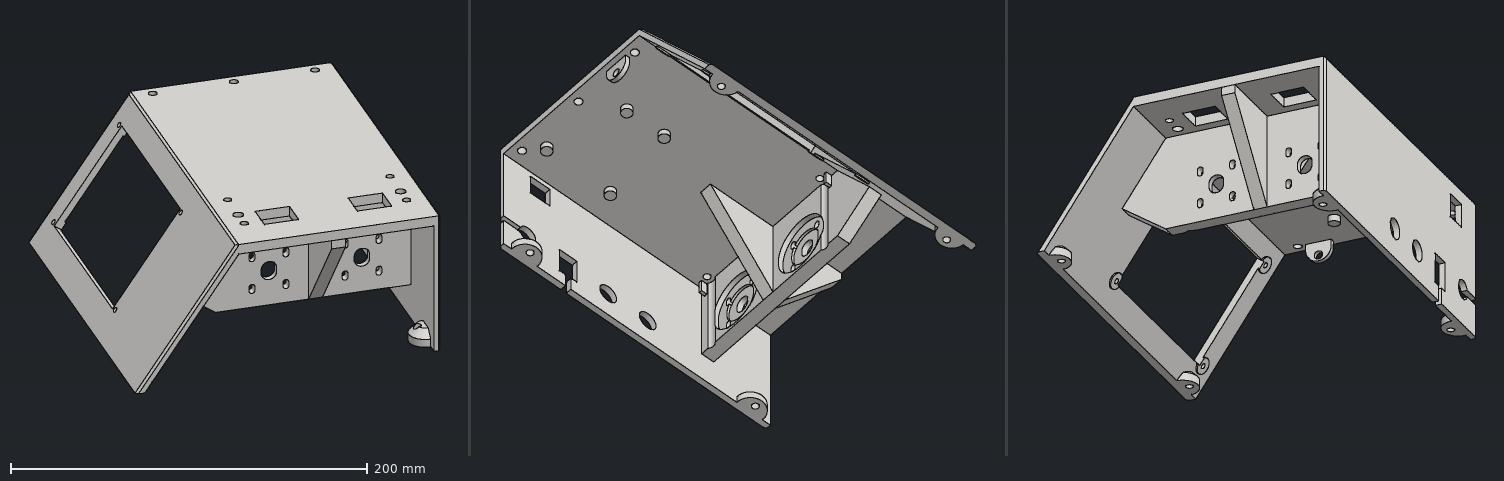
import cadquery as cq
import math

width = 200.0
depth = 179.5
height = 85.0
panel_angle = 55.0
back_thickness = 4.0
top_thickness = 6.0
panel_thickness = 4.5
ridge_chamfer = 1.0
side_bevel_width = 1.5
side_bevel_depth = 1.2

slope = math.radians(panel_angle)
ridge_y = height / math.tan(slope)
panel_length = height / math.sin(slope)
panel_foot_y = panel_thickness / math.sin(slope)
ceiling_z = height - top_thickness
back_inner_y = depth - back_thickness

window_x = 15.5
window_width = 107.8
window_low = 18.5
window_height = 69.5
display_hole_diameter = 3.0
display_boss_diameter = 10.0
display_boss_height = 1.0
display_hole_side_gap = 3.2
display_hole_inset = 1.0

bracket_y = 119.5
hole_row_offset = 47.8
side_hole_x = 6.5
side_hole_diameter = 5.0
bracket_hole_x = 145.0
bracket_hole_diameter = 4.5
large_hole_x = 164.5
large_hole_diameter = 6.0
outer_hole_x = 175.8
outer_hole_diameter = 4.5
opening_x = 172.0
opening_width = 17.0
opening_depth = 20.2
motor_offset = 27.5

board_boss_diameter = 7.0
board_boss_height = 4.0
board_bosses = [(14.8, 155.8), (63.0, 156.5), (30.0, 105.2), (58.0, 105.2)]

lug_x = 3.5
lug_thickness = 3.0
lug_y = 84.5
lug_radius = 8.0
lug_centre_z = 75.0
lug_hole_z = 70.8
lug_hole_diameter = 5.0

tab_offset = 52.8
tab_width = 2.0
tab_length = 4.0
tab_height = 9.0

usb_x = 27.5
usb_size = 14.5
usb_low = 60.8
slot_width = 4.0
keyhole_x = 18.2
keyhole_z = 22.5
keyhole_diameter = 11.5
socket_x = 48.5
socket_width = 13.0
socket_low = 10.0
socket_high = 28.2
jack_xs = [78.5, 108.0]
jack_z = 18.5
jack_diameter = 12.5

foot_diameter = 19.2
foot_height = 9.8
foot_cone = 4.8
foot_side_inset = 15.5
foot_end_inset = 4.5
foot_hole_diameter = 4.5
foot_hole_shift = 4.5
front_foot_hole_depth = 6.0

plate_x = 148.5
plate_thickness = 9.0
plate_low = 21.5
plate_tip_y = 33.5
plate_corner_y = 60.5
groove_diameter = 9.2
rib_width = 8.2
rib_reach = 46.8
motor_z = 43.2
slot_travel = 2.2
motor_recess_diameter = 37.2
motor_recess_depth = 3.5
hub_recess_diameter = 22.5
hub_recess_depth = 1.5
shaft_diameter = 9.0
motor_screw_diameter = 3.5
motor_screw_offset = 10.0


def block(x0, x1, y0, y1, z0, z1):
    return cq.Workplane("XY").box(x1 - x0, y1 - y0, z1 - z0, centered=False).translate((x0, y0, z0))


def rod(x, y, z0, z1, diameter):
    return cq.Workplane("XY", origin=(x, y, z0)).circle(diameter / 2).extrude(z1 - z0)


def side_profile(points, x0, x1):
    """Prism along X from a closed outline of (y, z) points."""
    return cq.Workplane("YZ", origin=(x0, 0, 0)).polyline(points).close().extrude(x1 - x0)


def panel_plane():
    """Plane on the outer panel face: origin at its lower left corner, local y up the slope."""
    normal = (0, -math.sin(slope), math.cos(slope))
    return cq.Plane(origin=(0, 0, 0), xDir=(1, 0, 0), normal=normal)


def inner_panel_y(z):
    return panel_foot_y + z / math.tan(slope)


def outer_outline():
    return [(0, 0), (depth, 0), (depth, height), (ridge_y, height)]


def make_shell():
    """Back wall, top plate and sloping panel, open at both sides and below."""
    shell = side_profile(outer_outline(), 0, width)
    ridge = cq.selectors.NearestToPointSelector((width / 2, ridge_y, height))
    back_edge = cq.selectors.NearestToPointSelector((width / 2, depth, height))
    shell = shell.edges(ridge).chamfer(ridge_chamfer).edges(back_edge).chamfer(ridge_chamfer)
    inside = [
        (panel_foot_y, 0),
        (back_inner_y, 0),
        (back_inner_y, ceiling_z),
        (inner_panel_y(ceiling_z), ceiling_z),
    ]
    return shell.cut(side_profile(inside, 0, width))


def bevel_wedge(origin, normal, x, inward, length):
    """Triangular prism that runs along `normal` and takes off one outer side edge at x."""
    section = cq.Plane(origin=origin, xDir=(1, 0, 0), normal=normal)
    corners = [(x, 0), (x + inward * side_bevel_width, 0), (x, side_bevel_depth)]
    return cq.Workplane(section).polyline(corners).close().extrude(length)


def bevel_side_edges(shell):
    up_the_slope = (0, math.cos(slope), math.sin(slope))
    for x, inward in ((0, 1), (width, -1)):
        shell = shell.cut(bevel_wedge((0, 0, 0), up_the_slope, x, inward, panel_length))
        shell = shell.cut(bevel_wedge((0, depth, height), (0, 0, -1), x, inward, height))
    return shell


def display_hole_points():
    xs = (window_x - display_hole_side_gap, window_x + window_width + display_hole_side_gap)
    ys = (window_low + display_hole_inset, window_low + window_height - display_hole_inset)
    return [(x, y) for x in xs for y in ys]


def add_display_opening(shell):
    through = panel_thickness + display_boss_height
    points = display_hole_points()
    face = cq.Workplane(panel_plane())
    bosses = face.workplane(offset=-through).pushPoints(points).circle(display_boss_diameter / 2)
    shell = shell.union(bosses.extrude(through - panel_thickness / 2))
    window_centre = (window_x + window_width / 2, window_low + window_height / 2)
    window = face.center(*window_centre).rect(window_width, window_height).extrude(-2 * through)
    holes = cq.Workplane(panel_plane()).pushPoints(points).circle(display_hole_diameter / 2).extrude(-through)
    return shell.cut(window).cut(holes)


def make_foot(x, y):
    """Upright cylinder with a wide conical top."""
    foot = rod(x, y, 0, foot_height, foot_diameter)
    return foot.faces(">Z").chamfer(foot_cone)


def add_feet(shell):
    """A foot at each corner, kept inside the shell outline, with a screw hole set towards the middle."""
    envelope = side_profile(outer_outline(), 0, width)
    for x in (foot_side_inset, width - foot_side_inset):
        for y, inward, hole_depth in (
            (foot_end_inset, 1, front_foot_hole_depth),
            (depth - foot_end_inset, -1, foot_height),
        ):
            shell = shell.union(make_foot(x, y).intersect(envelope))
            shell = shell.cut(rod(x, y + inward * foot_hole_shift, 0, hole_depth, foot_hole_diameter))
    return shell


def cut_top_plate(shell):
    rows = (bracket_y - hole_row_offset, bracket_y + hole_row_offset)
    holes = [(side_hole_x, bracket_y, side_hole_diameter)]
    for y in rows:
        holes.append((side_hole_x, y, side_hole_diameter))
        holes.append((bracket_hole_x, y, bracket_hole_diameter))
        holes.append((large_hole_x, y, large_hole_diameter))
        holes.append((outer_hole_x, y, outer_hole_diameter))
    for x, y, diameter in holes:
        shell = shell.cut(rod(x, y, ceiling_z, height, diameter))
    for y in (bracket_y - motor_offset, bracket_y + motor_offset):
        opening = cq.Workplane("XY", origin=(opening_x, y, ceiling_z)).rect(opening_width, opening_depth)
        shell = shell.cut(opening.extrude(top_thickness))
    return shell


def add_board_bosses(shell):
    for x, y in board_bosses:
        shell = shell.union(rod(x, y, ceiling_z - board_boss_height, ceiling_z, board_boss_diameter))
    return shell


def add_lug(shell):
    plane = cq.Workplane("YZ", origin=(lug_x, lug_y, 0))
    lug = (
        plane.moveTo(-lug_radius, ceiling_z)
        .lineTo(-lug_radius, lug_centre_z)
        .threePointArc((0, lug_centre_z - lug_radius), (lug_radius, lug_centre_z))
        .lineTo(lug_radius, ceiling_z)
        .close()
        .extrude(lug_thickness)
    )
    hole = plane.center(0, lug_hole_z).circle(lug_hole_diameter / 2).extrude(lug_thickness)
    return shell.union(lug.cut(hole))


def add_locating_tabs(shell):
    for side in (-1, 1):
        y = bracket_y + side * tab_offset
        tab = block(plate_x - tab_length, plate_x, y - tab_width / 2, y + tab_width / 2,
                    ceiling_z - tab_height, ceiling_z)
        shell = shell.union(tab)
    return shell


def back_block(x0, x1, z0, z1):
    return block(x0, x1, back_inner_y, depth, z0, z1)


def back_hole(x, z, diameter):
    hole = cq.Workplane("XZ", origin=(x, depth, z)).circle(diameter / 2)
    return hole.extrude(back_thickness)


def cut_back_wall(shell):
    half_slot = slot_width / 2
    cutters = [
        back_block(usb_x - usb_size / 2, usb_x + usb_size / 2, usb_low, usb_low + usb_size),
        back_hole(keyhole_x, keyhole_z, keyhole_diameter),
        back_block(0, keyhole_x, keyhole_z - half_slot, keyhole_z + half_slot),
        back_block(socket_x - socket_width / 2, socket_x + socket_width / 2, socket_low, socket_high),
        back_block(socket_x - half_slot, socket_x + half_slot, 0, socket_low),
    ]
    cutters += [back_hole(x, jack_z, jack_diameter) for x in jack_xs]
    for cutter in cutters:
        shell = shell.cut(cutter)
    return shell


def make_housing():
    shell = bevel_side_edges(make_shell())
    shell = add_display_opening(shell)
    shell = add_feet(shell)
    shell = cut_top_plate(shell)
    shell = add_board_bosses(shell)
    shell = add_lug(shell)
    shell = add_locating_tabs(shell)
    return cut_back_wall(shell)


def upright_slot(y, z, diameter, x0, length):
    """Cutter along X with a slot outline that is taller than wide."""
    outline = cq.Workplane("YZ", origin=(x0, y, z)).slot2D(diameter + slot_travel, diameter, 90)
    return outline.extrude(length)


def motor_cutters(y):
    front_x = bracket_hole_x
    recess_x = plate_x + motor_recess_depth
    cutters = [
        upright_slot(y, motor_z, motor_recess_diameter, front_x, recess_x - front_x),
        upright_slot(y, motor_z, hub_recess_diameter, recess_x, hub_recess_depth),
        upright_slot(y, motor_z, shaft_diameter, plate_x, plate_thickness),
    ]
    for side in (-1, 1):
        for level in (-1, 1):
            screw_y = y + side * motor_screw_offset
            screw_z = motor_z + level * motor_screw_offset
            cutters.append(upright_slot(screw_y, screw_z, motor_screw_diameter, plate_x, plate_thickness))
    return cutters


def make_bracket():
    """Motor plate with a middle rib, screw access grooves and two motor mounts."""
    tip_z = (plate_tip_y - panel_foot_y) * math.tan(slope)
    outline = [
        (back_inner_y, ceiling_z),
        (back_inner_y, plate_low),
        (plate_corner_y, plate_low),
        (plate_tip_y, tip_z),
        (inner_panel_y(ceiling_z), ceiling_z),
    ]
    plate_far_x = plate_x + plate_thickness
    bracket = side_profile(outline, plate_x, plate_far_x)
    rib_end_z = plate_low + (width - plate_far_x) * (ceiling_z - plate_low) / rib_reach
    rib_outline = [
        (plate_x - rib_reach, ceiling_z),
        (plate_x, plate_low),
        (plate_far_x, plate_low),
        (width, rib_end_z),
        (width, ceiling_z),
    ]
    rib = cq.Workplane("XZ", origin=(0, bracket_y + rib_width / 2, 0)).polyline(rib_outline).close()
    bracket = bracket.union(rib.extrude(rib_width))
    for side in (-1, 1):
        y = bracket_y + side * hole_row_offset
        bracket = bracket.cut(rod(bracket_hole_x, y, plate_low, ceiling_z, groove_diameter))
    for side in (-1, 1):
        for cutter in motor_cutters(bracket_y + side * motor_offset):
            bracket = bracket.cut(cutter)
    return bracket


housing = make_housing()
bracket = make_bracket()

result = cq.Compound.makeCompound([housing.val(), bracket.val()])